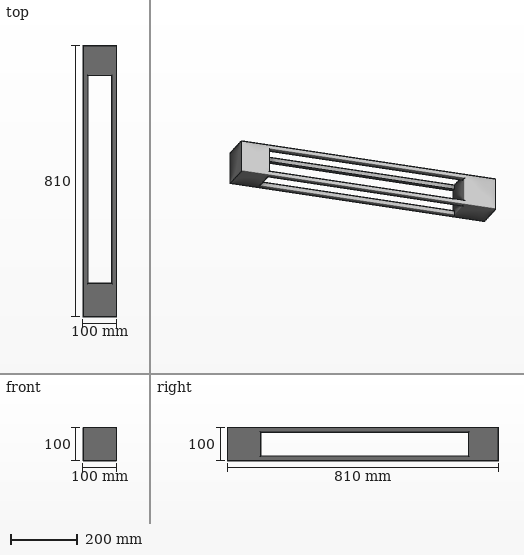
import cadquery as cq

length = 810.0
width = 100.0
front_block = 100.5
back_block = 90.0
bar = 14.5
edge_radius = 2.5

window_length = length - front_block - back_block
window_width = width - 2 * bar
window_center_y = (front_block - back_block) / 2


def window(size_x, size_z):
    """Rectangular cutter spanning the gap between the two end blocks."""
    cutter = cq.Workplane("XY").box(size_x, window_length, size_z)
    return cutter.translate((0, window_center_y, 0))


beam = cq.Workplane("XY").box(width, length, width)
frame = beam.cut(window(window_width, width)).cut(window(width, window_width))

side_edges = frame.faces("<X or >X or <Z or >Z").edges()
end_edges = frame.faces("<Y or >Y").edges("#Y")
long_edges_and_rims = [
    edge
    for edge in side_edges.vals()
    if not any(edge.isSame(end_edge) for end_edge in end_edges.vals())
]
result = frame.newObject(long_edges_and_rims).fillet(edge_radius)